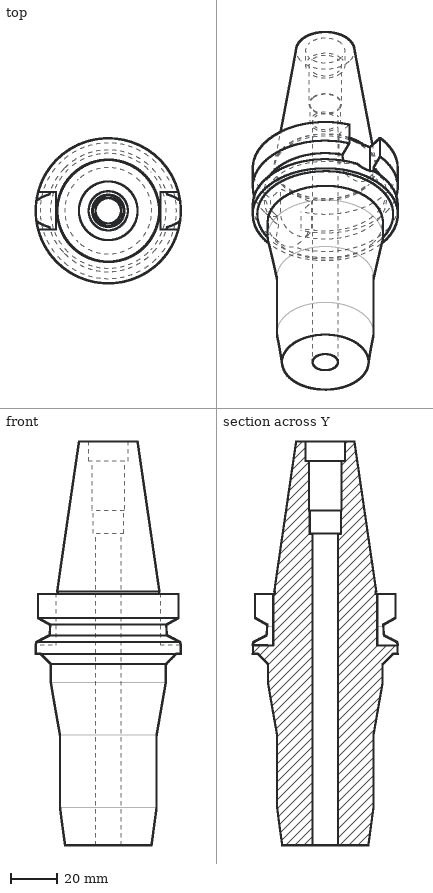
import cadquery as cq


TAPER_LENGTH = 65.1
GAUGE_DIAMETER = 44.45
TAPER_RATIO = 7 / 24
RELIEF_DIAMETER = 44.0

FLANGE_DIAMETER = 63.0
FLANGE_TOP_Z = -1.0
FLANGE_BOTTOM_Z = -27.0
GROOVE_DIAMETER = 53.0
GROOVE_CENTRE_Z = -16.7
GROOVE_FLOOR_WIDTH = 4.6
GROOVE_MOUTH_WIDTH = 10.4

COLLAR_TOP_DIAMETER = 59.0
NECK_DIAMETER = 50.0
NECK_BOTTOM_Z = -39.4
BODY_DIAMETER = 42.0
BODY_TOP_Z = -62.3
BODY_BOTTOM_Z = -93.7
NOSE_DIAMETER = 37.6
NOSE_Z = -110.0

SLOT_WIDTH = 16.1
SLOT_FLOOR_X = 22.6
SLOT_BOTTOM_Z = -23.2

ENTRY_BORE_DIAMETER = 17.0
ENTRY_BORE_DEPTH = 8.5
UPPER_BORE_DIAMETER = 14.0
UPPER_BORE_DEPTH = 30.0
MIDDLE_BORE_DIAMETER = 13.3
MIDDLE_BORE_DEPTH = 40.0
THROUGH_BORE_DIAMETER = 11.0


def turned_body():
    """Solid of revolution carrying the taper, flange, neck and nose."""
    taper_tip_diameter = GAUGE_DIAMETER - TAPER_RATIO * TAPER_LENGTH
    collar_height = (COLLAR_TOP_DIAMETER - NECK_DIAMETER) / 2
    stations = [
        (taper_tip_diameter, TAPER_LENGTH),
        (GAUGE_DIAMETER, 0),
        (RELIEF_DIAMETER, 0),
        (RELIEF_DIAMETER, FLANGE_TOP_Z),
        (FLANGE_DIAMETER, FLANGE_TOP_Z),
        (FLANGE_DIAMETER, GROOVE_CENTRE_Z + GROOVE_MOUTH_WIDTH / 2),
        (GROOVE_DIAMETER, GROOVE_CENTRE_Z + GROOVE_FLOOR_WIDTH / 2),
        (GROOVE_DIAMETER, GROOVE_CENTRE_Z - GROOVE_FLOOR_WIDTH / 2),
        (FLANGE_DIAMETER, GROOVE_CENTRE_Z - GROOVE_MOUTH_WIDTH / 2),
        (FLANGE_DIAMETER, FLANGE_BOTTOM_Z),
        (COLLAR_TOP_DIAMETER, FLANGE_BOTTOM_Z),
        (NECK_DIAMETER, FLANGE_BOTTOM_Z - collar_height),
        (NECK_DIAMETER, NECK_BOTTOM_Z),
        (BODY_DIAMETER, BODY_TOP_Z),
        (BODY_DIAMETER, BODY_BOTTOM_Z),
        (NOSE_DIAMETER, NOSE_Z),
    ]
    outline = [(0, TAPER_LENGTH)]
    outline += [(diameter / 2, z) for diameter, z in stations]
    outline.append((0, NOSE_Z))
    return cq.Workplane("XZ").polyline(outline).close().revolve(360, (0, 0), (0, 1))


def bore(diameter, depth):
    """Cylinder going down the axis from the small end of the taper."""
    return cq.Workplane("XY").workplane(offset=TAPER_LENGTH).circle(diameter / 2).extrude(-depth)


def drive_slot(side):
    """Round-ended slot, open at the flange top and rim; side is +1 or -1 along X."""
    radius = SLOT_WIDTH / 2
    depth = FLANGE_DIAMETER / 2 - SLOT_FLOOR_X
    arc_centre_z = SLOT_BOTTOM_Z + radius
    return (
        cq.Workplane("YZ")
        .workplane(offset=side * SLOT_FLOOR_X)
        .moveTo(-radius, FLANGE_TOP_Z)
        .lineTo(-radius, arc_centre_z)
        .threePointArc((0, SLOT_BOTTOM_Z), (radius, arc_centre_z))
        .lineTo(radius, FLANGE_TOP_Z)
        .close()
        .extrude(side * depth)
    )


bore_steps = [
    (ENTRY_BORE_DIAMETER, ENTRY_BORE_DEPTH),
    (UPPER_BORE_DIAMETER, UPPER_BORE_DEPTH),
    (MIDDLE_BORE_DIAMETER, MIDDLE_BORE_DEPTH),
    (THROUGH_BORE_DIAMETER, TAPER_LENGTH - NOSE_Z),
]

result = turned_body()
for step_diameter, step_depth in bore_steps:
    result = result.cut(bore(step_diameter, step_depth))
for slot_side in (-1, 1):
    result = result.cut(drive_slot(slot_side))